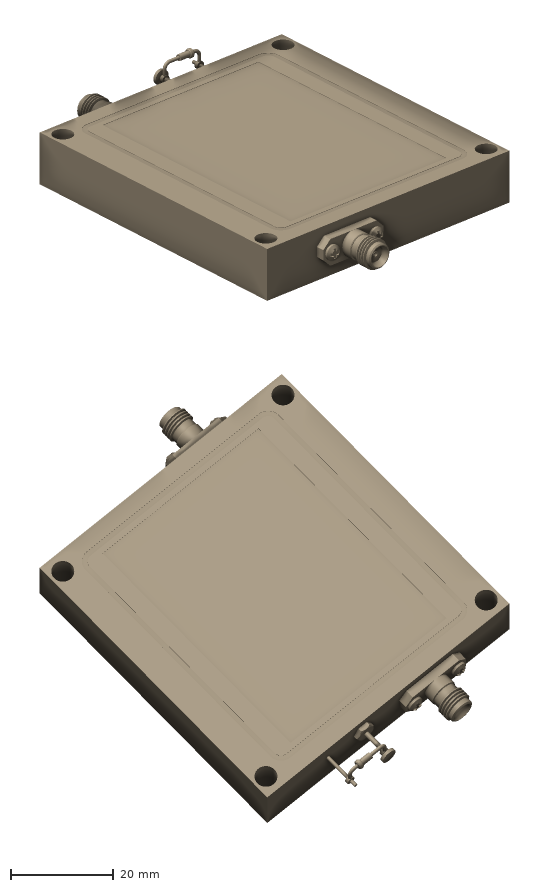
import cadquery as cq
import math

BODY_LENGTH = 67.0
BODY_WIDTH = 63.5
BODY_HEIGHT = 11.4
SIDE_X = BODY_LENGTH / 2
TOP_Z = BODY_HEIGHT / 2

MOUNT_HOLE_DIAMETER = 4.5
MOUNT_SPACING_X = 59.8
MOUNT_SPACING_Y = 57.75

SEAM_LENGTH = 60.0
SEAM_WIDTH = 50.7
SEAM_CORNER_RADIUS = 2.8
SEAM_GAP = 1.1
LABEL_LENGTH = 55.3
LABEL_WIDTH = 40.9
MARKING_DEPTH = 0.1

OVERALL_LENGTH = 86.5
CONNECTOR_Y = -10.8
CONNECTOR_Z = 0.6
CONNECTOR_REACH = (OVERALL_LENGTH - BODY_LENGTH) / 2
FLANGE_LENGTH = 15.7
FLANGE_HEIGHT = 5.9
FLANGE_THICKNESS = 1.9
FLANGE_CHAMFER = 1.8
COLLAR_DIAMETER = 5.9
COLLAR_LENGTH = 2.4
COLLAR_CHAMFER = 0.2
BARREL_DIAMETER = 5.4
BARREL_TIP_CHAMFER = 0.3
SOCKET_MOUTH_DIAMETER = 4.5
SOCKET_FLOOR_DIAMETER = 3.4
SOCKET_DEPTH = 1.4
CONTACT_DIAMETER = 1.3
CONTACT_HOLE_DIAMETER = 0.76
CONTACT_HOLE_DEPTH = 1.7
CONTACT_PROTRUSION = 0.2

THREAD_CREST_DIAMETER = 6.4
THREAD_PITCH = 0.7
THREAD_LENGTH = 2.8
THREAD_START = 5.8
THREAD_ROOT_WIDTH = 0.6
THREAD_CREST_WIDTH = 0.2
THREAD_OVERLAP = 0.1

SCREW_SPACING = 11.4
SCREW_DIAMETER = 3.4
SCREW_RIM_HEIGHT = 0.5
SCREW_HEIGHT = 1.2
SCREW_TOP_DIAMETER = 1.8
CROSS_LENGTH = 2.25
CROSS_WIDTH = 0.76
CROSS_DEPTH = 0.35

TERMINAL_Z = 1.9
PIN_Y = 15.8
PIN_DIAMETER = 0.76
PIN_LENGTH = 8.2
TERMINAL_Y = 6.75
NUT_CORNER_DIAMETER = 4.5
NUT_THICKNESS = 1.1
NUT_CHAMFER = 0.35
STEM_DIAMETER = 1.0
STEM_LENGTH = 6.0
NECK_DIAMETER = 0.76
TERMINAL_LENGTH = 7.9
HEAD_DIAMETER = 3.4
HEAD_THICKNESS = 0.7

OVERALL_HEIGHT = 12.0
DIODE_FLANGE_DIAMETER = 2.0
DIODE_DIAMETER = 1.4
DIODE_FLANGE_LENGTH = 0.95
DIODE_FLANGE_CHAMFER = 0.2
DIODE_LENGTH = 3.5
DIODE_START_Y = 13.8
DIODE_X = -39.95
DIODE_Z = OVERALL_HEIGHT - TOP_Z - DIODE_FLANGE_DIAMETER / 2
LEAD_DIAMETER = 0.76
LEAD_BEND_RADIUS = 1.3
LOOP_DIAMETER = 1.8
LOOP_WIDTH = 0.8


def rod(diameter, start, end, y=0.0, z=0.0):
    """Cylinder along X between two X positions."""
    return cq.Workplane("YZ", origin=(start, y, z)).circle(diameter / 2).extrude(end - start)


def top_prism(length, width, corner_radius=0.0):
    """Shallow block just below the top face, used to cut markings."""
    block = cq.Workplane("XY", origin=(0, 0, TOP_Z - MARKING_DEPTH)).rect(length, width)
    block = block.extrude(MARKING_DEPTH)
    if corner_radius:
        block = block.edges("|Z").fillet(corner_radius)
    return block


def make_housing():
    housing = cq.Workplane("XY").box(BODY_LENGTH, BODY_WIDTH, BODY_HEIGHT)
    housing = (
        housing.faces(">Z").workplane()
        .rect(MOUNT_SPACING_X, MOUNT_SPACING_Y, forConstruction=True).vertices()
        .hole(MOUNT_HOLE_DIAMETER)
    )
    seam_outer = top_prism(SEAM_LENGTH, SEAM_WIDTH, SEAM_CORNER_RADIUS)
    seam_inner = top_prism(
        SEAM_LENGTH - 2 * SEAM_GAP, SEAM_WIDTH - 2 * SEAM_GAP, SEAM_CORNER_RADIUS - SEAM_GAP
    )
    label = top_prism(LABEL_LENGTH, LABEL_WIDTH)
    return housing.cut(seam_outer.cut(seam_inner)).cut(label)


def make_screw():
    """Screw head standing on the plane X = 0, pointing along +X."""
    rim_radius = SCREW_DIAMETER / 2
    top_radius = SCREW_TOP_DIAMETER / 2
    head = (
        cq.Workplane("XY").lineTo(0, rim_radius).lineTo(SCREW_RIM_HEIGHT, rim_radius)
        .lineTo(SCREW_HEIGHT, top_radius).lineTo(SCREW_HEIGHT, 0).close()
        .revolve(360, (0, 0, 0), (1, 0, 0))
    )
    recess_plane = cq.Workplane("YZ", origin=(SCREW_HEIGHT - CROSS_DEPTH, 0, 0))
    for length, width in ((CROSS_LENGTH, CROSS_WIDTH), (CROSS_WIDTH, CROSS_LENGTH)):
        head = head.cut(recess_plane.rect(length, width).extrude(CROSS_DEPTH))
    return head


def make_thread():
    """Trapezoidal ridge wound around the X axis."""
    root_radius = BARREL_DIAMETER / 2 - THREAD_OVERLAP
    crest_radius = THREAD_CREST_DIAMETER / 2
    helix = cq.Wire.makeHelix(THREAD_PITCH, THREAD_LENGTH, root_radius)
    ridge = (
        cq.Workplane("XZ")
        .moveTo(root_radius, -THREAD_ROOT_WIDTH / 2).lineTo(crest_radius, -THREAD_CREST_WIDTH / 2)
        .lineTo(crest_radius, THREAD_CREST_WIDTH / 2).lineTo(root_radius, THREAD_ROOT_WIDTH / 2)
        .close().sweep(cq.Workplane(obj=helix), isFrenet=True)
    )
    return ridge.rotate((0, 0, 0), (0, 1, 0), 90).translate((THREAD_START, 0, 0))


def make_connector():
    """Connector along +X, its flange seated on the plane X = 0."""
    collar_end = FLANGE_THICKNESS + COLLAR_LENGTH
    flange = (
        cq.Workplane("YZ").rect(FLANGE_LENGTH, FLANGE_HEIGHT).extrude(FLANGE_THICKNESS)
        .edges("|X").chamfer(FLANGE_CHAMFER)
    )
    barrel = rod(BARREL_DIAMETER, 0, CONNECTOR_REACH).faces(">X").chamfer(BARREL_TIP_CHAMFER)
    barrel = barrel.union(make_thread())
    collar = rod(COLLAR_DIAMETER, 0, collar_end).faces(">X").chamfer(COLLAR_CHAMFER)
    connector = flange.union(collar).union(barrel)
    socket_floor = CONNECTOR_REACH - SOCKET_DEPTH
    socket = (
        cq.Workplane("YZ", origin=(socket_floor, 0, 0)).circle(SOCKET_FLOOR_DIAMETER / 2)
        .workplane(offset=SOCKET_DEPTH).circle(SOCKET_MOUTH_DIAMETER / 2).loft()
    )
    contact_tip = socket_floor + CONTACT_PROTRUSION
    contact = rod(CONTACT_DIAMETER, collar_end, contact_tip)
    contact_hole = rod(CONTACT_HOLE_DIAMETER, contact_tip - CONTACT_HOLE_DEPTH, contact_tip)
    connector = connector.cut(socket).union(contact).cut(contact_hole)
    for side in (-1, 1):
        screw = make_screw().translate((FLANGE_THICKNESS, side * SCREW_SPACING / 2, 0))
        connector = connector.union(screw)
    return connector


def make_terminals():
    pin = rod(PIN_DIAMETER, -SIDE_X - PIN_LENGTH, -SIDE_X, PIN_Y, TERMINAL_Z)
    nut = (
        cq.Workplane("YZ", origin=(-SIDE_X - NUT_THICKNESS, TERMINAL_Y, TERMINAL_Z))
        .polygon(6, NUT_CORNER_DIAMETER).extrude(NUT_THICKNESS)
    )
    nut_blank = rod(NUT_CORNER_DIAMETER, -SIDE_X - NUT_THICKNESS, -SIDE_X, TERMINAL_Y, TERMINAL_Z)
    nut = nut.intersect(nut_blank.faces("<X").chamfer(NUT_CHAMFER))
    head_end = -SIDE_X - TERMINAL_LENGTH
    stem = rod(STEM_DIAMETER, -SIDE_X - STEM_LENGTH, -SIDE_X, TERMINAL_Y, TERMINAL_Z)
    neck = rod(NECK_DIAMETER, head_end, -SIDE_X, TERMINAL_Y, TERMINAL_Z)
    head = rod(HEAD_DIAMETER, head_end, head_end + HEAD_THICKNESS, TERMINAL_Y, TERMINAL_Z)
    return pin.union(nut).union(stem).union(neck).union(head)


def make_diode():
    bend_inset = LEAD_BEND_RADIUS * (1 - math.sqrt(0.5))
    bend_z = DIODE_Z - LEAD_BEND_RADIUS
    path = (
        cq.Workplane("YZ", origin=(DIODE_X, 0, 0))
        .moveTo(PIN_Y, TERMINAL_Z).lineTo(PIN_Y, bend_z)
        .threePointArc(
            (PIN_Y - bend_inset, DIODE_Z - bend_inset), (PIN_Y - LEAD_BEND_RADIUS, DIODE_Z)
        )
        .lineTo(TERMINAL_Y + LEAD_BEND_RADIUS, DIODE_Z)
        .threePointArc((TERMINAL_Y + bend_inset, DIODE_Z - bend_inset), (TERMINAL_Y, bend_z))
        .lineTo(TERMINAL_Y, TERMINAL_Z)
    )
    diode = (
        cq.Workplane("XY", origin=(DIODE_X, PIN_Y, TERMINAL_Z))
        .circle(LEAD_DIAMETER / 2).sweep(path)
    )
    case_plane = cq.Workplane("XZ", origin=(DIODE_X, DIODE_START_Y, DIODE_Z))
    case_flange = case_plane.circle(DIODE_FLANGE_DIAMETER / 2).extrude(DIODE_FLANGE_LENGTH)
    diode = diode.union(case_flange.edges().chamfer(DIODE_FLANGE_CHAMFER))
    diode = diode.union(case_plane.circle(DIODE_DIAMETER / 2).extrude(DIODE_LENGTH))
    for loop_y in (PIN_Y, TERMINAL_Y):
        loop_start = DIODE_X - LOOP_WIDTH / 2
        loop = rod(LOOP_DIAMETER, loop_start, loop_start + LOOP_WIDTH, loop_y, TERMINAL_Z)
        diode = diode.union(loop)
    return diode


right_connector = make_connector().translate((SIDE_X, CONNECTOR_Y, CONNECTOR_Z))
left_connector = right_connector.rotate((0, CONNECTOR_Y, 0), (0, CONNECTOR_Y, 1), 180)

result = (
    make_housing()
    .union(right_connector)
    .union(left_connector)
    .union(make_terminals())
    .union(make_diode())
)